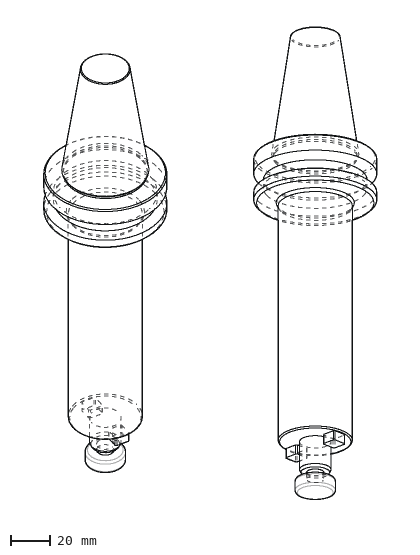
import cadquery as cq

total_length = 253.5

taper_length = 65.5
gauge_radius = 22.3
taper_ratio = 7 / 24
taper_top_radius = gauge_radius - taper_length * taper_ratio / 2
taper_top_chamfer = 0.5
relief_slope_height = 1.0
relief_radius = 21.5

flange_diameter = 63.0
flange_radius = flange_diameter / 2
flange_top = -2.0
flange_bottom = -27.0
flange_top_chamfer = 0.8
flange_bottom_chamfer = 1.5
groove_radius = 26.5
groove_mouth_top = -11.1
groove_floor_top = -14.5
groove_floor_bottom = -19.0
groove_mouth_bottom = -21.3

body_radius = 19.0
body_bottom = -160.0
body_root_flare = 1.0
body_root_height = 1.8
body_end_chamfer = 0.8

pilot_radius = 8.0
pilot_bottom = -176.9
pilot_chamfer_height = 1.5
pilot_chamfer_inset = 0.8
shank_diameter = 8.9
head_radius = 10.5
head_bottom = taper_length - total_length
head_height = 7.3
head_fillet = 1.3

key_inner = 9.5
key_outer = 17.5
key_width = 8.0
key_depth = 5.0
key_corner_chamfer = 0.63
key_embed = 2.5


def cylinder(radius, bottom, top):
    return cq.Workplane("XY").workplane(offset=bottom).circle(radius).extrude(top - bottom)


def make_holder():
    """Taper, flange and body revolved from one half profile."""
    points = [
        (0, taper_length),
        (taper_top_radius - taper_top_chamfer, taper_length),
        (taper_top_radius, taper_length - taper_top_chamfer),
        (gauge_radius, 0),
        (relief_radius, -relief_slope_height),
        (relief_radius, flange_top),
        (flange_radius - flange_top_chamfer, flange_top),
        (flange_radius, flange_top - flange_top_chamfer),
        (flange_radius, groove_mouth_top),
        (groove_radius, groove_floor_top),
        (groove_radius, groove_floor_bottom),
        (flange_radius, groove_mouth_bottom),
        (flange_radius, flange_bottom + flange_bottom_chamfer),
        (flange_radius - flange_bottom_chamfer, flange_bottom),
        (body_radius + body_root_flare, flange_bottom),
        (body_radius, flange_bottom - body_root_height),
        (body_radius, body_bottom + body_end_chamfer),
        (body_radius - body_end_chamfer, body_bottom),
        (0, body_bottom),
    ]
    return cq.Workplane("XZ").polyline(points).close().revolve(360, (0, 0), (0, 1))


def make_pilot():
    pilot = cylinder(pilot_radius, pilot_bottom, body_bottom)
    return pilot.faces("<Z").chamfer(pilot_chamfer_height, pilot_chamfer_inset)


def make_screw():
    head_top = head_bottom + head_height
    head = cylinder(head_radius, head_bottom, head_top).edges().fillet(head_fillet)
    return head.union(cylinder(shank_diameter / 2, head_bottom + head_height / 2, pilot_bottom))


def make_key(side):
    key_center = side * (key_inner + key_outer) / 2
    return (
        cq.Workplane("XY")
        .workplane(offset=body_bottom - key_depth)
        .center(key_center, 0)
        .rect(key_outer - key_inner, key_width)
        .extrude(key_depth + key_embed)
        .edges("|Z")
        .chamfer(key_corner_chamfer)
    )


result = make_holder().union(make_pilot()).union(make_screw())
for side in (-1, 1):
    result = result.union(make_key(side))